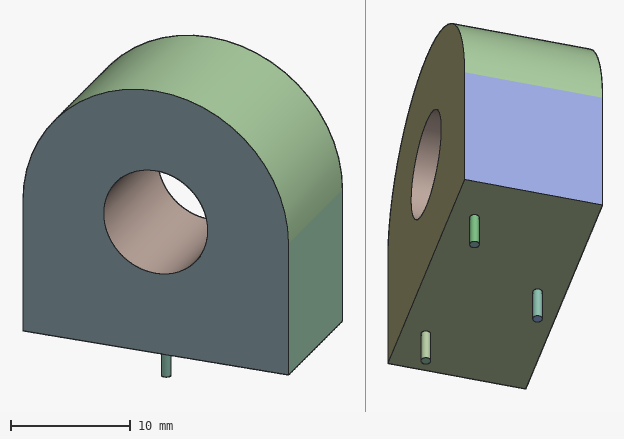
import cadquery as cq

housing_width = 24.0
housing_depth = 12.0
outer_radius = housing_width / 2
bore_diameter = 9.4

total_height = 27
pin_length = total_height - housing_width
pin_diameter = 0.8
pin_spacing = 7.6
front_pin_y = -3.67
rear_pin_y = front_pin_y + pin_spacing

underside_z = -outer_radius


def make_housing():
    """D-shaped block with a round through bore on the axis of its arched top."""
    block = (
        cq.Workplane("XZ", origin=(0, housing_depth / 2, 0))
        .moveTo(-outer_radius, underside_z)
        .lineTo(outer_radius, underside_z)
        .lineTo(outer_radius, 0)
        .threePointArc((0, outer_radius), (-outer_radius, 0))
        .close()
        .extrude(housing_depth)
    )
    bore = (
        cq.Workplane("XZ", origin=(0, housing_depth / 2, 0))
        .circle(bore_diameter / 2)
        .extrude(housing_depth)
    )
    return block.cut(bore)


def make_pin(x, y):
    """Straight round pin hanging from the underside of the housing."""
    return (
        cq.Workplane("XY", origin=(x, y, underside_z))
        .circle(pin_diameter / 2)
        .extrude(-pin_length)
    )


housing = make_housing()

pin_places = [
    (0, front_pin_y),
    (-pin_spacing, rear_pin_y),
    (pin_spacing, rear_pin_y),
]
pins = [make_pin(x, y) for x, y in pin_places]

result = cq.Compound.makeCompound([housing.val(), *[pin.val() for pin in pins]])